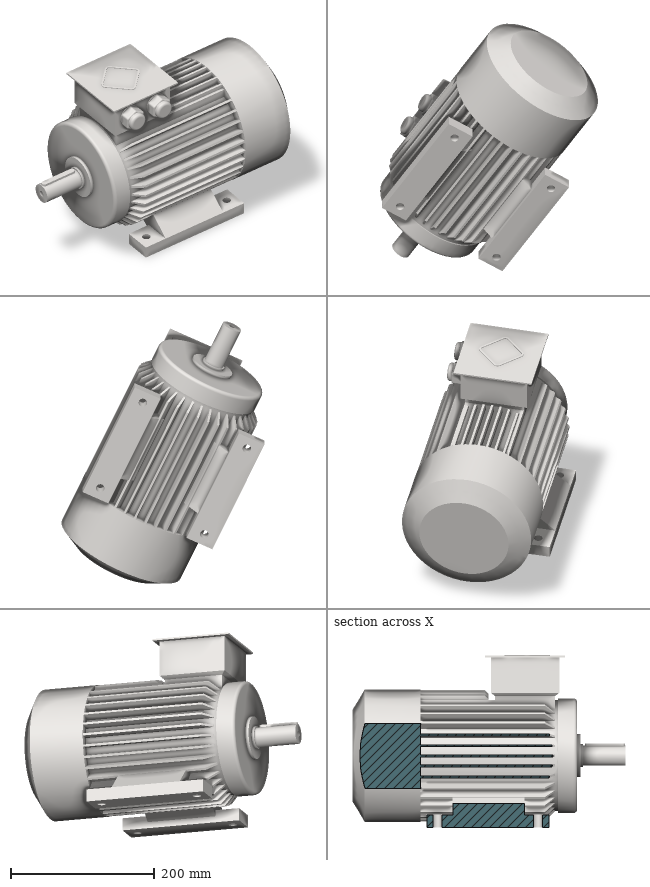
import cadquery as cq
import math


SHAFT_DIA = 28.0
SHAFT_LENGTH = 60.0
CENTRE_HOLE_DIA = 8.5
CENTRE_HOLE_DEPTH = 19.0
DRILL_TIP_ANGLE = 118.0
KEY_WIDTH = 8.0
KEY_LENGTH = 56.0
KEY_START_Y = 0.8
KEY_TOP_Z = 16.8
COLLAR_DIA = 32.0
BOSS_DIA = 60.0
BOSS_FRONT_Y = 63.5

FLANGE_DIA = 160.0
FLANGE_FRONT_Y = 68.0
FLANGE_BACK_Y = 94.7
FLANGE_EDGE_RADIUS = 4.5
CORE_RADIUS = 155.0 / 2
COWL_RADIUS = 185.0 / 2
COWL_FRONT_Y = 287.0
COWL_CONE_Y = 365.0
COWL_BACK_RADIUS = 63.8
MOTOR_LENGTH = 382.0

FIN_RADIUS = 92.0
FIN_THICKNESS = 3.25
FIN_PITCH_ANGLE = 10
FIN_FIRST_ANGLE = 130
FIN_LAST_ANGLE = 410
FIN_FRONT_Y = 99.0
FIN_TAPER_END_Y = 113.0
FIN_OVERLAP = 4.0

PAD_HALF_WIDTH = 42.0
TOP_FIN_COUNT = 7
TOP_FIN_SPACING = 2 * PAD_HALF_WIDTH / TOP_FIN_COUNT
TOP_FIN_FRONT_Y = 191.8
TOP_FIN_CHAMFER = 5.5

BOX_CENTRE_Y = 140.5
BOX_SIZE = 95.5
BOX_BOTTOM_Z = 88.0
NECK_SIZE = 2 * PAD_HALF_WIDTH
NECK_TOP_Z = 83.3
LID_SIZE = 111.5
LID_BOTTOM_Z = 137.5
LID_TOP_Z = 140.0
RIM_SIZE = 49.0
RIM_WIDTH = 2.5
RIM_CORNER_RADIUS = 6.5
RIM_HEIGHT = 1.0
RIM_OFFSET_Y = -3.0

GLAND_SPACING = 46.0
GLAND_Z = 113.0
GLAND_SEAT_DIA = 32.0
GLAND_SEAT_LENGTH = 1.5
GLAND_HEX_SIDES = 6
GLAND_HEX_FLATS = 29.0
GLAND_HEX_LENGTH = 13.8
GLAND_HEX_CORNER_RADIUS = 3.0
GLAND_HEX_EDGE_RADIUS = 2.3
GLAND_CAP_DIA = 26.0
GLAND_CAP_LENGTH = 7.0
GLAND_CAP_RADIUS = 4.0

SHAFT_HEIGHT = 100.0
FOOT_OUTER_X = 100.0
FOOT_WIDTH = 39.7
FOOT_HEIGHT = 17.5
FOOT_LENGTH = 171.5
FOOT_CENTRE_Y = 193.0
FOOT_HOLE_DIA = 12.0
FOOT_HOLE_SPACING = 140.2
WEB_LENGTH = 100.0
WEB_CENTRE_Y = 191.8
WEB_ANGLE = 40.0
WEB_LOWER_EDGE_HEIGHT = 8.8


def cylinder_y(diameter, start_y, end_y):
    """Cylinder on the shaft axis between two Y positions."""
    base = cq.Workplane("XZ", origin=(0, start_y, 0))
    return base.circle(diameter / 2).extrude(start_y - end_y)


def box_between(x_range, y_range, z_range):
    """Axis-aligned block given by its limits."""
    limits = (x_range, y_range, z_range)
    sizes = [high - low for low, high in limits]
    corner = tuple(low for low, high in limits)
    return cq.Workplane("XY").box(*sizes, centered=False).translate(corner)


def square_block(size, bottom_z, top_z):
    """Square block centred on the terminal box."""
    base = cq.Workplane("XY", origin=(0, BOX_CENTRE_Y, bottom_z))
    return base.rect(size, size).extrude(top_z - bottom_z)


def make_housing():
    """Front flange, core and fan cowl with its conical back end."""
    flange = cylinder_y(FLANGE_DIA, FLANGE_FRONT_Y, FLANGE_BACK_Y)
    flange = flange.faces("<Y").edges().fillet(FLANGE_EDGE_RADIUS)
    core = cylinder_y(2 * CORE_RADIUS, FLANGE_BACK_Y, COWL_FRONT_Y)
    cowl_profile = [
        (0, COWL_FRONT_Y),
        (COWL_RADIUS, COWL_FRONT_Y),
        (COWL_RADIUS, COWL_CONE_Y),
        (COWL_BACK_RADIUS, MOTOR_LENGTH),
        (0, MOTOR_LENGTH),
    ]
    cowl = cq.Workplane("XY").polyline(cowl_profile).close().revolve(360, (0, 0), (0, 1))
    return flange.union(core).union(cowl)


def make_radial_fins():
    """Fins around the sides and bottom of the core, tapered toward the flange."""
    profile = [
        (CORE_RADIUS - FIN_OVERLAP, FIN_FRONT_Y),
        (CORE_RADIUS, FIN_FRONT_Y),
        (FIN_RADIUS, FIN_TAPER_END_Y),
        (FIN_RADIUS, COWL_FRONT_Y),
        (CORE_RADIUS - FIN_OVERLAP, COWL_FRONT_Y),
    ]
    fin = cq.Workplane("XY").polyline(profile).close().extrude(FIN_THICKNESS / 2, both=True)
    fins = cq.Workplane("XY")
    for angle in range(FIN_FIRST_ANGLE, FIN_LAST_ANGLE + 1, FIN_PITCH_ANGLE):
        fins = fins.add(fin.rotate((0, 0, 0), (0, 1, 0), -angle))
    return fins.combine()


def make_top_pad():
    """Flat-topped pad with upright fins whose tops follow the radial fin circle."""
    pad_y = (BOX_CENTRE_Y - NECK_SIZE / 2, COWL_FRONT_Y)
    pad = box_between((-PAD_HALF_WIDTH, PAD_HALF_WIDTH), pad_y, (0, CORE_RADIUS))
    for index in range(TOP_FIN_COUNT):
        x = (index - (TOP_FIN_COUNT - 1) / 2) * TOP_FIN_SPACING
        outer_x = abs(x) + FIN_THICKNESS / 2
        top_z = math.sqrt(FIN_RADIUS**2 - outer_x**2)
        profile = [
            (COWL_FRONT_Y, CORE_RADIUS - FIN_OVERLAP),
            (TOP_FIN_FRONT_Y, CORE_RADIUS - FIN_OVERLAP),
            (TOP_FIN_FRONT_Y, top_z - TOP_FIN_CHAMFER),
            (TOP_FIN_FRONT_Y + TOP_FIN_CHAMFER, top_z),
            (COWL_FRONT_Y, top_z),
        ]
        base = cq.Workplane("YZ", origin=(x, 0, 0))
        pad = pad.union(base.polyline(profile).close().extrude(FIN_THICKNESS / 2, both=True))
    return pad


def make_lid_rim():
    """Raised rounded frame standing on one corner."""
    base = cq.Workplane("XY")
    outer = base.rect(RIM_SIZE, RIM_SIZE).extrude(RIM_HEIGHT)
    outer = outer.edges("|Z").fillet(RIM_CORNER_RADIUS)
    inner_size = RIM_SIZE - 2 * RIM_WIDTH
    inner = base.rect(inner_size, inner_size).extrude(RIM_HEIGHT)
    inner = inner.edges("|Z").fillet(RIM_CORNER_RADIUS - RIM_WIDTH)
    rim = outer.cut(inner).rotate((0, 0, 0), (0, 0, 1), 45)
    return rim.translate((0, BOX_CENTRE_Y + RIM_OFFSET_Y, LID_TOP_Z))


def make_terminal_box():
    """Box on a neck, with a flared skirt below and an overhanging lid above."""
    neck = square_block(NECK_SIZE, 0, NECK_TOP_Z)
    skirt = (
        cq.Workplane("XY", origin=(0, BOX_CENTRE_Y, NECK_TOP_Z))
        .rect(NECK_SIZE, NECK_SIZE)
        .workplane(offset=BOX_BOTTOM_Z - NECK_TOP_Z)
        .rect(BOX_SIZE, BOX_SIZE)
        .loft()
    )
    body = square_block(BOX_SIZE, BOX_BOTTOM_Z, LID_BOTTOM_Z)
    lid = square_block(LID_SIZE, LID_BOTTOM_Z, LID_TOP_Z)
    return neck.union(skirt).union(body).union(lid).union(make_lid_rim())


def make_gland(y):
    """Cable gland on the +X wall: a round seat, a hexagon with rounded edges and a domed cap."""
    wall = cq.Workplane("YZ", origin=(BOX_SIZE / 2, y, GLAND_Z))
    seat = wall.circle(GLAND_SEAT_DIA / 2).extrude(GLAND_SEAT_LENGTH)

    across_corners = GLAND_HEX_FLATS / math.cos(math.pi / GLAND_HEX_SIDES)
    hex_base = wall.workplane(offset=GLAND_SEAT_LENGTH).transformed(rotate=(0, 0, 90))
    hexagon = hex_base.polygon(GLAND_HEX_SIDES, across_corners).extrude(GLAND_HEX_LENGTH)
    hexagon = hexagon.edges("|X").fillet(GLAND_HEX_CORNER_RADIUS)
    hexagon = hexagon.faces(">X").edges().fillet(GLAND_HEX_EDGE_RADIUS)

    cap_end = GLAND_SEAT_LENGTH + GLAND_HEX_LENGTH + GLAND_CAP_LENGTH
    cap = wall.circle(GLAND_CAP_DIA / 2).extrude(cap_end)
    cap = cap.faces(">X").edges().fillet(GLAND_CAP_RADIUS)
    return seat.union(hexagon).union(cap)


def make_foot():
    """Foot on the +X side: a drilled bar joined to the core by a sloping web."""
    inner_x = FOOT_OUTER_X - FOOT_WIDTH
    top_z = FOOT_HEIGHT - SHAFT_HEIGHT
    bar_y = (FOOT_CENTRE_Y - FOOT_LENGTH / 2, FOOT_CENTRE_Y + FOOT_LENGTH / 2)
    bar = box_between((inner_x, FOOT_OUTER_X), bar_y, (-SHAFT_HEIGHT, top_z))
    drill = cq.Workplane("XY", origin=(inner_x + FOOT_WIDTH / 2, FOOT_CENTRE_Y, -SHAFT_HEIGHT))
    holes = drill.rarray(4, FOOT_HOLE_SPACING, 1, 2).circle(FOOT_HOLE_DIA / 2).extrude(FOOT_HEIGHT)

    root_x = CORE_RADIUS / 2
    slope = math.tan(math.radians(WEB_ANGLE))
    lower_z = WEB_LOWER_EDGE_HEIGHT - SHAFT_HEIGHT
    profile = [
        (inner_x, lower_z),
        (inner_x, top_z),
        (FOOT_OUTER_X, top_z),
        (root_x, top_z + slope * (FOOT_OUTER_X - root_x)),
        (root_x, lower_z + slope * (inner_x - root_x)),
    ]
    base = cq.Workplane("XZ", origin=(0, WEB_CENTRE_Y, 0))
    web = base.polyline(profile).close().extrude(WEB_LENGTH / 2, both=True)
    return bar.cut(holes).union(web)


def make_shaft():
    """Shaft end with its collar, boss, round-ended key and drilled centre hole."""
    shaft = cylinder_y(SHAFT_DIA, 0, FLANGE_FRONT_Y)
    collar = cylinder_y(COLLAR_DIA, SHAFT_LENGTH, FLANGE_FRONT_Y)
    boss = cylinder_y(BOSS_DIA, BOSS_FRONT_Y, FLANGE_FRONT_Y)
    key_base = cq.Workplane("XY", origin=(0, KEY_START_Y + KEY_LENGTH / 2, 0))
    key = key_base.slot2D(KEY_LENGTH, KEY_WIDTH, 90).extrude(KEY_TOP_Z)

    hole_radius = CENTRE_HOLE_DIA / 2
    tip_length = hole_radius / math.tan(math.radians(DRILL_TIP_ANGLE / 2))
    hole_profile = [
        (0, 0),
        (hole_radius, 0),
        (hole_radius, CENTRE_HOLE_DEPTH),
        (0, CENTRE_HOLE_DEPTH + tip_length),
    ]
    hole = cq.Workplane("XY").polyline(hole_profile).close().revolve(360, (0, 0), (0, 1))
    return shaft.union(collar).union(boss).union(key).cut(hole)


right_foot = make_foot()
left_foot = right_foot.mirror("YZ")

result = make_housing().union(make_radial_fins()).union(make_top_pad())
result = result.union(make_terminal_box())
for side in (-1, 1):
    result = result.union(make_gland(BOX_CENTRE_Y + side * GLAND_SPACING / 2))
result = result.union(right_foot).union(left_foot).union(make_shaft())